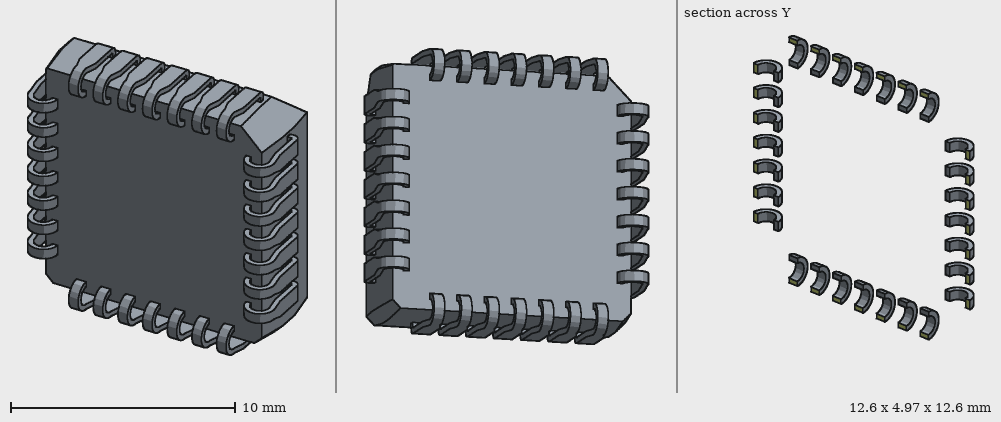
import cadquery as cq
import math

LEAD_SPAN = 12.57
BODY_WIDTH = 11.54
BODY_FRONT = 0.89
BAND_FRONT = 2.43
BAND_BACK = 3.47
BODY_BACK = 4.97
DRAFT_ANGLE = 8.0

INDEX_CUT = 1.2
UPPER_LEFT_CUT = 0.19
LOWER_CUT = 0.5

SLOPE_DROP = 1.31
DIMPLE_DIAMETER = 1.0
DIMPLE_DEPTH = 0.1

LEADS_PER_SIDE = 7
LEAD_PITCH = 1.27
ROW_OFFSET = 0.18
LEAD_THICKNESS = 0.26
LEAD_TOP = 3.07
SHOULDER_RADIUS = 0.3
HOOK_RADIUS = 0.72
WIDE_WIDTH = 0.82
NARROW_WIDTH = 0.49
TAPER_TOP = 1.28
TAPER_BOTTOM = 0.75
EMBED_DEPTH = 0.25

HALF_SPAN = LEAD_SPAN / 2
HALF_BODY = BODY_WIDTH / 2
SLOPE_DEPTH = BODY_BACK - BAND_BACK


def body_outline(y):
    """Square (X, Z) outline with four different corner cuts, in the plane at height y."""
    h = HALF_BODY
    corners = [
        (-h + LOWER_CUT, -h),
        (h - LOWER_CUT, -h),
        (h, -h + LOWER_CUT),
        (h, h - INDEX_CUT),
        (h - INDEX_CUT, h),
        (-h + UPPER_LEFT_CUT, h),
        (-h, h - UPPER_LEFT_CUT),
        (-h, -h + LOWER_CUT),
    ]
    return cq.Workplane("XZ", origin=(0, y, 0)).polyline(corners).close()


def make_body():
    """Straight band with a drafted part on each side of it and a sloped upper back edge."""
    band = body_outline(BAND_BACK).extrude(BAND_BACK - BAND_FRONT)
    front = body_outline(BAND_FRONT).extrude(BAND_FRONT - BODY_FRONT, taper=DRAFT_ANGLE)
    back = body_outline(BAND_BACK).extrude(-SLOPE_DEPTH, taper=DRAFT_ANGLE)
    wedge = (
        cq.Workplane("YZ", origin=(-HALF_SPAN, 0, 0))
        .moveTo(BAND_BACK, HALF_BODY)
        .lineTo(BODY_BACK, HALF_BODY - SLOPE_DROP)
        .lineTo(BODY_BACK, HALF_BODY)
        .close()
        .extrude(LEAD_SPAN)
    )
    return band.union(front).union(back.cut(wedge))


def make_dimple():
    """Ball that leaves a shallow round dimple in the middle of the sloped face."""
    radius = ((DIMPLE_DIAMETER / 2) ** 2 + DIMPLE_DEPTH**2) / (2 * DIMPLE_DEPTH)
    slope_length = math.hypot(SLOPE_DEPTH, SLOPE_DROP)
    standoff = radius - DIMPLE_DEPTH
    center = (
        ROW_OFFSET,
        (BAND_BACK + BODY_BACK) / 2 + standoff * SLOPE_DROP / slope_length,
        HALF_BODY - SLOPE_DROP / 2 + standoff * SLOPE_DEPTH / slope_length,
    )
    return cq.Workplane("XY").sphere(radius).translate(center)


def make_lead():
    """J-lead on the +X side, centered on Z = 0."""
    tail = HALF_BODY - EMBED_DEPTH
    inner_face = HALF_SPAN - LEAD_THICKNESS
    shoulder_x = HALF_SPAN - SHOULDER_RADIUS
    shoulder_y = LEAD_TOP - SHOULDER_RADIUS
    inner_radius = SHOULDER_RADIUS - LEAD_THICKNESS
    outer_diagonal = SHOULDER_RADIUS * math.sqrt(0.5)
    inner_diagonal = inner_radius * math.sqrt(0.5)
    hook_x = HALF_SPAN - HOOK_RADIUS
    hook_tip = HALF_SPAN - 2 * HOOK_RADIUS
    profile = (
        cq.Workplane("XY", origin=(0, 0, -WIDE_WIDTH / 2))
        .moveTo(tail, LEAD_TOP)
        .lineTo(shoulder_x, LEAD_TOP)
        .threePointArc(
            (shoulder_x + outer_diagonal, shoulder_y + outer_diagonal),
            (HALF_SPAN, shoulder_y),
        )
        .lineTo(HALF_SPAN, HOOK_RADIUS)
        .threePointArc((hook_x, 0), (hook_tip, HOOK_RADIUS))
        .lineTo(hook_tip + LEAD_THICKNESS, HOOK_RADIUS)
        .threePointArc((hook_x, LEAD_THICKNESS), (inner_face, HOOK_RADIUS))
        .lineTo(inner_face, shoulder_y)
        .threePointArc(
            (shoulder_x + inner_diagonal, shoulder_y + inner_diagonal),
            (shoulder_x, shoulder_y + inner_radius),
        )
        .lineTo(tail, LEAD_TOP - LEAD_THICKNESS)
        .close()
        .extrude(WIDE_WIDTH)
    )
    wide, narrow = WIDE_WIDTH / 2, NARROW_WIDTH / 2
    face_outline = (
        cq.Workplane("YZ", origin=(hook_tip, 0, 0))
        .polyline([
            (LEAD_TOP, -wide),
            (LEAD_TOP, wide),
            (TAPER_TOP, wide),
            (TAPER_BOTTOM, narrow),
            (0, narrow),
            (0, -narrow),
            (TAPER_BOTTOM, -narrow),
            (TAPER_TOP, -wide),
        ])
        .close()
        .extrude(2 * HOOK_RADIUS)
    )
    return profile.intersect(face_outline)


def add_leads(body):
    """Four equal rows of leads turned around Y, all shifted by ROW_OFFSET towards +X or +Z."""
    lead = make_lead()
    for side in range(4):
        shift = ROW_OFFSET if side < 2 else -ROW_OFFSET
        for index in range(LEADS_PER_SIDE):
            place = (index - (LEADS_PER_SIDE - 1) / 2) * LEAD_PITCH + shift
            body = body.union(
                lead.translate((0, 0, place)).rotate((0, 0, 0), (0, 1, 0), 90 * side)
            )
    return body


result = add_leads(make_body().cut(make_dimple()))